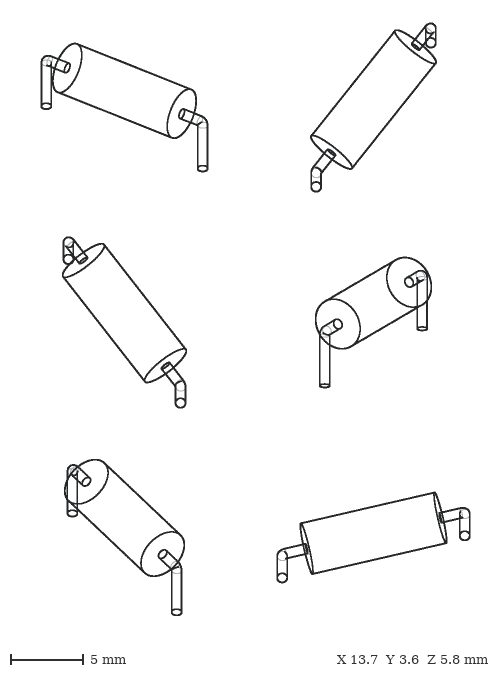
import cadquery as cq

overall_length = 13.7
overall_height = 5.8
body_diameter = 3.6
body_length = 9.52
lead_diameter = 0.7
bend_outer_radius = 0.6

lead_radius = lead_diameter / 2
axis_height = overall_height - body_diameter / 2
lead_top = axis_height + lead_radius
lead_end = overall_length / 2
lead_embed = 0.14


def make_body():
    """Cylinder centred on X = 0 with its axis along X."""
    return (
        cq.Workplane("YZ", origin=(-body_length / 2, 0, axis_height))
        .circle(body_diameter / 2)
        .extrude(body_length)
    )


def make_lead():
    """Right-hand lead: horizontal and vertical rods joined by a rounded elbow."""
    start = body_length / 2 - lead_embed
    bend_x = lead_end - bend_outer_radius
    bend_z = lead_top - bend_outer_radius
    horizontal = (
        cq.Workplane("YZ", origin=(start, 0, axis_height))
        .circle(lead_radius)
        .extrude(bend_x - start)
    )
    vertical = (
        cq.Workplane("XY", origin=(lead_end - lead_radius, 0, 0))
        .circle(lead_radius)
        .extrude(bend_z)
    )
    section_center = bend_outer_radius - lead_radius
    half_chord = (lead_radius**2 - section_center**2) ** 0.5
    elbow = (
        cq.Workplane("XY", origin=(bend_x, 0, bend_z))
        .moveTo(0, -half_chord)
        .threePointArc((bend_outer_radius, 0), (0, half_chord))
        .close()
        .revolve(90, (0, 0, 0), (0, -1, 0))
    )
    return horizontal.union(vertical).union(elbow)


right_lead = make_lead()
left_lead = right_lead.mirror("YZ")
result = make_body().union(right_lead).union(left_lead)